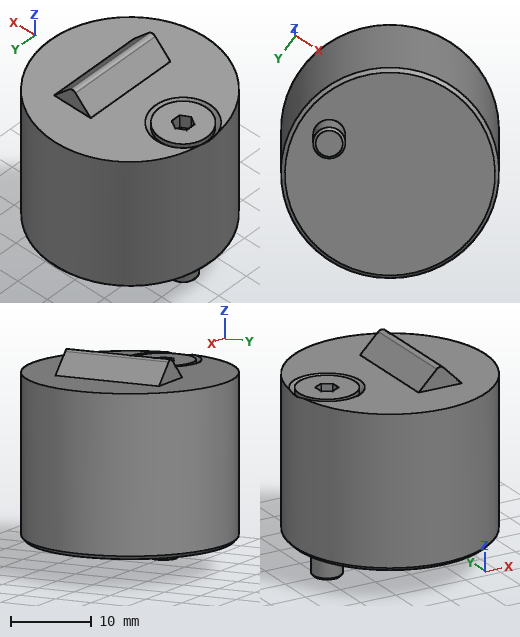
import cadquery as cq
import math

housing_diameter = 27.0
housing_height = 21.0
housing_chamfer = 0.5

screw_x = -9.0
shank_diameter = 4.0
shank_protrusion = 4.0
tip_chamfer = 0.33
head_diameter = 2 * shank_diameter
head_height = shank_diameter
hex_across_flats = 2.5
hex_depth = head_height / 2

countersink_diameter = 9.4
countersink_depth = (countersink_diameter - head_diameter) / 2

ridge_x = 3.0
ridge_length = 14.43
ridge_height = 2.8
crest_radius = 0.7


def make_housing():
    """Cylinder with a chamfered bottom edge and a counterbored screw hole."""
    body = cq.Workplane("XY").circle(housing_diameter / 2).extrude(housing_height)
    body = body.faces("<Z").edges().chamfer(housing_chamfer)
    shank_hole = cq.Workplane("XY").center(screw_x, 0).circle(shank_diameter / 2).extrude(housing_height)
    counterbore = (
        cq.Workplane("XY", origin=(screw_x, 0, housing_height))
        .circle(head_diameter / 2)
        .extrude(-head_height)
    )
    countersink = cq.Workplane(
        cq.Solid.makeCone(
            head_diameter / 2,
            countersink_diameter / 2,
            countersink_depth,
            pnt=cq.Vector(screw_x, 0, housing_height - countersink_depth),
        )
    )
    return body.cut(shank_hole).cut(counterbore).cut(countersink)


def make_screw():
    """Plain shank with a chamfered tip, cylindrical head and hexagon socket."""
    shank = (
        cq.Workplane("XY", origin=(screw_x, 0, -shank_protrusion))
        .circle(shank_diameter / 2)
        .extrude(shank_protrusion + housing_height - head_height)
        .faces("<Z").edges().chamfer(tip_chamfer)
    )
    head = (
        cq.Workplane("XY", origin=(screw_x, 0, housing_height - head_height))
        .circle(head_diameter / 2)
        .extrude(head_height)
    )
    hex_across_corners = hex_across_flats / math.cos(math.radians(30))
    socket = (
        cq.Workplane("XY", origin=(screw_x, 0, housing_height))
        .transformed(rotate=(0, 0, 90))
        .polygon(6, hex_across_corners)
        .extrude(-hex_depth)
    )
    return shank.union(head).cut(socket)


def make_ridge():
    """Right-angled prism with its crest rounded, resting on the housing."""
    crest_loss = crest_radius * (math.sqrt(2) - 1)
    sharp_height = ridge_height + crest_loss
    prism = (
        cq.Workplane("XZ", origin=(ridge_x, ridge_length / 2, housing_height))
        .moveTo(-sharp_height, 0)
        .lineTo(sharp_height, 0)
        .lineTo(0, sharp_height)
        .close()
        .extrude(ridge_length)
    )
    return prism.edges(">Z").fillet(crest_radius)


housing = make_housing()
screw = make_screw()
ridge = make_ridge()

result = cq.Compound.makeCompound([housing.solids().val(), screw.solids().val(), ridge.solids().val()])